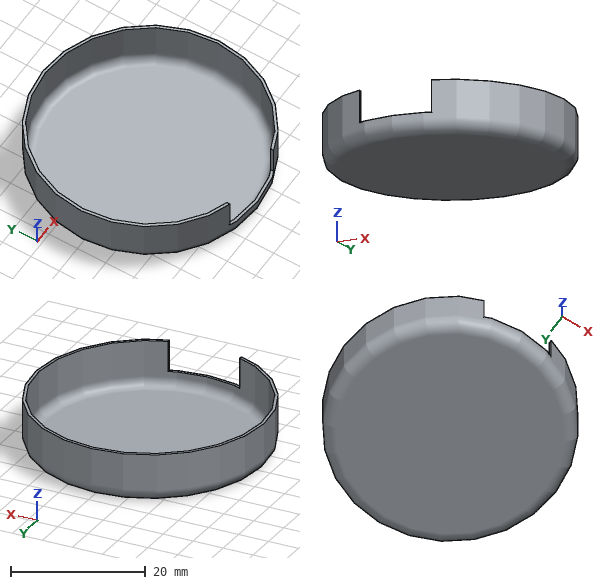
import cadquery as cq

outer_diameter = 38.0
facet_count = 24
height = 8.0
wall = 0.5
outer_round = 2.0
inner_round = outer_round - wall
notch_width = 12.0
notch_sill = 3.0


def tray_outline(base_height):
    """Regular polygon with corners on the X and Y axes, at the given height."""
    return cq.Workplane("XY", origin=(0, 0, base_height)).polygon(facet_count, outer_diameter)


def round_bottom_prism(outline, prism_height, round_radius):
    """Extrude a closed outline upward and round its bottom edges."""
    return outline.extrude(prism_height).faces("<Z").edges().fillet(round_radius)


body = round_bottom_prism(tray_outline(0), height, outer_round)

cavity_outline = tray_outline(wall).offset2D(-wall, "intersection")
cavity = round_bottom_prism(cavity_outline, height - wall, inner_round)

notch_depth = outer_diameter / 2
notch = cq.Workplane("XY", origin=(0, -notch_depth, notch_sill)).box(
    notch_width, notch_depth, height - notch_sill, centered=(True, False, False)
)

result = body.cut(cavity).cut(notch)